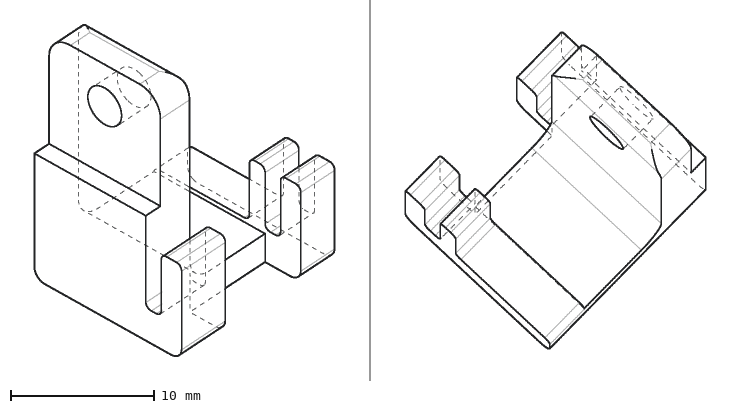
import cadquery as cq
import math

height = 20.7
depth = 15.8
width = 14.0
body_width = 10.6
slot_width = 1.47
rear_post_width = 1.5

base_top = 2.5
slot_floor = 2.9
hook_top = 8.4
step_level = 11.0

wall_depth = 4.51
step_depth = 1.51
rear_depth = 3.5

small_radius = 0.5
edge_radius = 1.0
large_radius = 2.0
hole_diameter = 3.2
hole_level = 17.04

hook_left = body_width + slot_width
rear_front = depth - rear_depth
rear_post_left = body_width - rear_post_width


def extrude_y(outline, y_start, y_end):
    """Extrude a closed X-Z outline from y_start to y_end."""
    workplane = cq.Workplane("XZ", origin=(0, y_start, 0))
    return workplane.polyline(outline).close().extrude(y_start - y_end)


def round_corners(solid, corners, radius):
    """Round the Y-direction edges that pass through the given X-Z corners."""
    reach = 0.02
    for x, z in corners:
        box = cq.selectors.BoxSelector(
            (x - reach, -depth, z - reach), (x + reach, 2 * depth, z + reach)
        )
        solid = solid.edges("|Y").edges(box).fillet(radius)
    return solid


def hook_outline():
    """Slot and upright of the hook, down to the lower right corner."""
    return [
        (body_width, slot_floor),
        (hook_left, slot_floor),
        (hook_left, hook_top),
        (width, hook_top),
        (width, 0),
    ]


def front_wall():
    outline = [(0, 0), (0, height), (body_width, height)] + hook_outline()
    wall = extrude_y(outline, 0, wall_depth)
    wall = round_corners(wall, [(0, height), (body_width, height)], large_radius)
    wall = round_corners(wall, [(0, 0), (width, 0)], edge_radius)
    return round_corners(wall, hook_outline()[:4], small_radius)


def rear_block():
    upper_outline = [
        (0, slot_floor),
        (rear_post_left, slot_floor),
        (rear_post_left, hook_top),
        (body_width, hook_top),
    ] + hook_outline()[:4]
    outline = [(0, 0)] + upper_outline + [(width, 0)]
    block = extrude_y(outline, rear_front, depth)
    block = round_corners(block, [(0, 0), (width, 0)], edge_radius)
    return round_corners(block, upper_outline, small_radius)


def base_plate():
    """Plate stock, tall enough to leave the concave round against the wall."""
    stock_top = base_top + large_radius
    outline = [(0, 0), (0, stock_top), (body_width, stock_top), (body_width, 0)]
    plate = extrude_y(outline, 0, rear_front)
    return round_corners(plate, [(0, 0)], edge_radius)


def side_profile():
    """Y-Z silhouette with the stepped wall, the inner corner round and the rear block."""
    arc_inset = 1 - math.cos(math.radians(45))
    return (
        cq.Workplane("YZ")
        .moveTo(0, 0)
        .lineTo(depth, 0)
        .lineTo(depth, hook_top)
        .lineTo(rear_front, hook_top)
        .lineTo(rear_front, base_top)
        .lineTo(wall_depth + large_radius, base_top)
        .threePointArc(
            (wall_depth + large_radius * arc_inset, base_top + large_radius * arc_inset),
            (wall_depth, base_top + large_radius),
        )
        .lineTo(wall_depth, height - edge_radius)
        .threePointArc(
            (wall_depth - edge_radius * arc_inset, height - edge_radius * arc_inset),
            (wall_depth - edge_radius, height),
        )
        .lineTo(step_depth, height)
        .lineTo(step_depth, step_level)
        .lineTo(0, step_level)
        .close()
        .extrude(width)
    )


def mounting_hole():
    return (
        cq.Workplane("XZ", origin=(body_width / 2, 0, hole_level))
        .circle(hole_diameter / 2)
        .extrude(-wall_depth)
    )


stock = front_wall().union(base_plate()).union(rear_block())
result = stock.intersect(side_profile()).cut(mounting_hole())